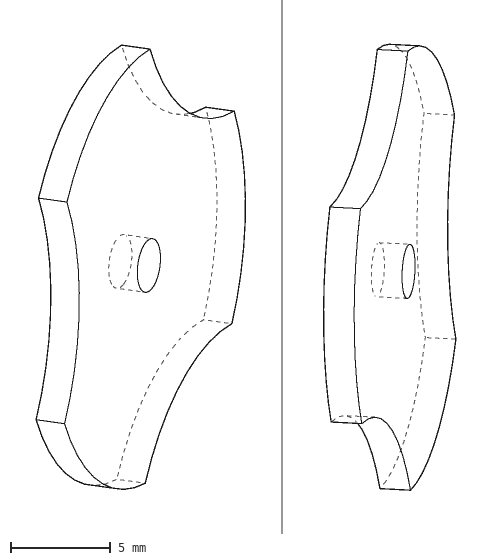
import cadquery as cq
import math

disc_radius = 11.3
thickness = 1.58
bore_diameter = 2.71

scallop_count = 3
scallop_radius = disc_radius
scallop_center_distance = 19.45
first_scallop_angle = 58.6


def cylinder_along_x(radius, y=0.0, z=0.0):
    """Cylinder as long as the disc is thick, with its axis at (y, z)."""
    return cq.Workplane("YZ").center(y, z).circle(radius).extrude(thickness)


def scallop(index):
    """Cutter for one of the scallops around the rim."""
    angle = math.radians(first_scallop_angle + index * 360.0 / scallop_count)
    y = scallop_center_distance * math.cos(angle)
    z = scallop_center_distance * math.sin(angle)
    return cylinder_along_x(scallop_radius, y, z)


result = cylinder_along_x(disc_radius)
for scallop_index in range(scallop_count):
    result = result.cut(scallop(scallop_index))

result = result.cut(cylinder_along_x(bore_diameter / 2))